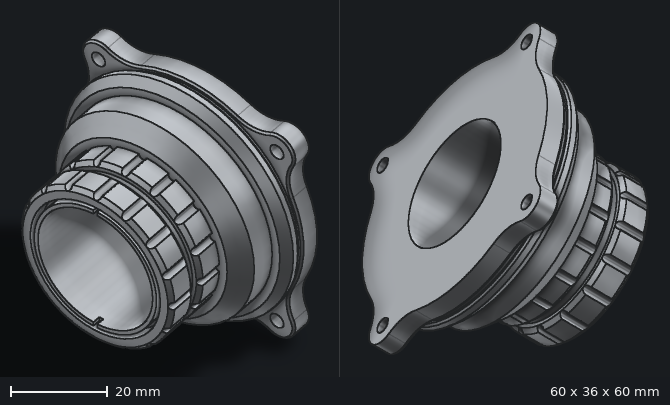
import cadquery as cq
import math


flange_radius = 30.0
flange_thickness = 5.0
flange_chamfer = 0.5
lug_pitch_radius = 33.0
lug_radius = 4.5
lug_hole_diameter = 3.5
lug_blend_radius = 10.0
lug_count = 4
lug_step = 360.0 / lug_count
lug_first_angle = 45.0

neck_radius = 29.0
neck_end = 6.0
rim_radius = 30.0
rim_back_chamfer = 0.5
rim_front_chamfer = 2.0
rim_end = 10.0
shoulder_radius = 26.0
shoulder_chamfer = 4.0
shoulder_end = 20.0

grip_radius = 20.0
grip_chamfer = 1.0
grip_end = 36.0
grip_split_radius = 18.0
grip_split_start = 26.5
grip_split_end = 28.5
flute_radius = 1.0
flute_count = 16

bore_radius = 15.0
sleeve_radius = 16.0
gap_radius = 17.0
gap_depth = 4.0
slot_depth = 2.0
sleeve_slot_width = 1.0


def at_distance(distance):
    """Workplane at a distance from the back face, with its normal toward the front."""
    return cq.Workplane("XZ", origin=(0, -distance, 0))


def polar(radius, angle):
    """Point at a radius and an angle in degrees."""
    turn = math.radians(angle)
    return (radius * math.cos(turn), radius * math.sin(turn))


def toward(start, end, distance):
    """Point at a distance from start on the line to end."""
    share = distance / math.dist(start, end)
    return tuple(a + share * (b - a) for a, b in zip(start, end))


def make_flange():
    """Disc with rounded lugs, blended into the disc by concave arcs."""
    blend_centre_radius = flange_radius + lug_blend_radius
    blend_to_lug = lug_radius + lug_blend_radius
    cosine = (blend_centre_radius**2 + lug_pitch_radius**2 - blend_to_lug**2) / (
        2 * blend_centre_radius * lug_pitch_radius
    )
    blend_angle = math.degrees(math.acos(cosine))

    outline = at_distance(0).moveTo(*polar(flange_radius, lug_first_angle - blend_angle))
    for index in range(lug_count):
        lug_angle = lug_first_angle + index * lug_step
        lug = polar(lug_pitch_radius, lug_angle)
        blend_target = polar(flange_radius - lug_radius, lug_angle)
        blend_in = polar(blend_centre_radius, lug_angle - blend_angle)
        blend_out = polar(blend_centre_radius, lug_angle + blend_angle)

        outline = outline.threePointArc(
            toward(blend_in, blend_target, lug_blend_radius),
            toward(blend_in, lug, lug_blend_radius),
        )
        outline = outline.threePointArc(
            polar(lug_pitch_radius + lug_radius, lug_angle),
            toward(lug, blend_out, lug_radius),
        )
        outline = outline.threePointArc(
            toward(blend_out, blend_target, lug_blend_radius),
            polar(flange_radius, lug_angle + blend_angle),
        )
        outline = outline.threePointArc(
            polar(flange_radius, lug_angle + lug_step / 2),
            polar(flange_radius, lug_angle + lug_step - blend_angle),
        )

    flange = outline.close().extrude(flange_thickness)
    return flange.faces("<Y").chamfer(flange_chamfer)


def make_turned_body():
    """Neck, rim, shoulder and grip as one turned profile."""
    sections = [
        (0, 0),
        (neck_radius, 0),
        (neck_radius, neck_end),
        (rim_radius - rim_back_chamfer, neck_end),
        (rim_radius, neck_end + rim_back_chamfer),
        (rim_radius, rim_end - rim_front_chamfer),
        (rim_radius - rim_front_chamfer, rim_end),
        (shoulder_radius, rim_end),
        (shoulder_radius, shoulder_end - shoulder_chamfer),
        (shoulder_radius - shoulder_chamfer, shoulder_end),
        (grip_radius, shoulder_end),
        (grip_radius, grip_split_start - grip_chamfer),
        (grip_radius - grip_chamfer, grip_split_start),
        (grip_split_radius, grip_split_start),
        (grip_split_radius, grip_split_end),
        (grip_radius - grip_chamfer, grip_split_end),
        (grip_radius, grip_split_end + grip_chamfer),
        (grip_radius, grip_end - grip_chamfer),
        (grip_radius - grip_chamfer, grip_end),
        (0, grip_end),
    ]
    profile = [(radius, -distance) for radius, distance in sections]
    return cq.Workplane("XY").polyline(profile).close().revolve(360, (0, 0, 0), (0, 1, 0))


def make_flutes():
    """Round flutes along the whole grip, centred on its surface."""
    flute_step = 360.0 / flute_count
    places = [polar(grip_radius, index * flute_step) for index in range(flute_count)]
    return at_distance(shoulder_end).pushPoints(places).circle(flute_radius).extrude(grip_end - shoulder_end)


def make_lug_holes():
    """Through holes, one in the centre of each lug."""
    places = [polar(lug_pitch_radius, lug_first_angle + index * lug_step) for index in range(lug_count)]
    return at_distance(0).pushPoints(places).circle(lug_hole_diameter / 2).extrude(flange_thickness)


def make_sleeve_gap():
    """Ring-shaped gap that frees the inner sleeve from the grip."""
    return at_distance(grip_end - gap_depth).circle(gap_radius).circle(sleeve_radius).extrude(gap_depth)


def make_sleeve_slots():
    """Slots through the top and bottom of the sleeve, shallower than the gap."""
    return (
        at_distance(grip_end - slot_depth)
        .rect(sleeve_slot_width, 2 * sleeve_radius)
        .extrude(slot_depth)
    )


body = make_turned_body().union(make_flange())
bore = at_distance(0).circle(bore_radius).extrude(grip_end)

result = (
    body.cut(make_flutes())
    .cut(make_lug_holes())
    .cut(bore)
    .cut(make_sleeve_gap())
    .cut(make_sleeve_slots())
)